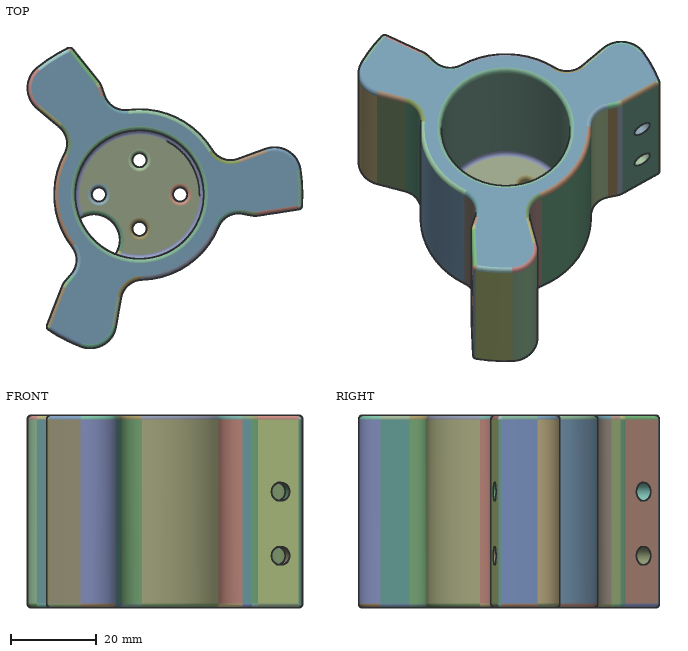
import cadquery as cq
import math

height = 45.0
hub_radius = 19.95
tip_radius = 38.1
bore_diameter = 30.0
floor_thickness = 5.0
edge_radius = 1.0

arm_count = 3
lead_angle = 20.0
trail_angle = -10.7
flat_angle = 8.8
flat_start_radius = 27.4
tip_corner_radius = 6.2
neck_radius = 5.0
flat_blend_radius = 4.0

channel_diameter = 6.3
channel_roof = floor_thickness
cross_hole_diameter = 4.3
cross_hole_count = 2
cross_hole_low_z = 12.15
cross_hole_spacing = 15.0
cross_hole_reach = 14.05

screw_diameter = 3.2
screw_offset_x = 9.5
screw_offset_y = 8.0
drain_radius = 6.0
drain_angle = 225.0

bore_radius = bore_diameter / 2


def polar(radius, angle):
    """Plan point at a radius and an angle in degrees from the hub axis."""
    return (radius * math.cos(math.radians(angle)), radius * math.sin(math.radians(angle)))


def shifted(point, distance, angle):
    """Plan point moved a distance in the direction of an angle in degrees."""
    step = polar(distance, angle)
    return (point[0] + step[0], point[1] + step[1])


def cylinder(center, radius, bottom, top):
    """Upright cylinder at a plan point, between two heights."""
    return cq.Workplane("XY").workplane(offset=bottom).center(*center).circle(radius).extrude(top - bottom)


def fillet_nearest(body, edges, point, radius):
    """Fillet the edge nearest to a point, out of those that match an edge selector."""
    return body.edges(edges).edges(cq.selectors.NearestToPointSelector(point)).fillet(radius)


def turned_copies(shape):
    """Copies of a shape, one at each arm position around the hub axis."""
    return [shape.rotate((0, 0, 0), (0, 0, 1), i * 360 / arm_count) for i in range(arm_count)]


flat_start = polar(flat_start_radius, trail_angle)
start_along_flat = flat_start_radius * math.cos(math.radians(trail_angle - flat_angle))
start_off_flat = flat_start_radius * math.sin(math.radians(trail_angle - flat_angle))
flat_length = math.sqrt(tip_radius**2 - start_off_flat**2) - start_along_flat
flat_end = shifted(flat_start, flat_length, flat_angle)

corner_tangent_radius = math.sqrt((tip_radius - tip_corner_radius)**2 - tip_corner_radius**2)
corner_center = shifted(polar(corner_tangent_radius, lead_angle), tip_corner_radius, lead_angle - 90)


def make_hub_with_arm():
    """Solid hub with one arm and its rounded upright edges."""
    sector = cq.Workplane("XY").polyline([
        (0, 0),
        flat_start,
        shifted(flat_start, tip_radius, flat_angle),
        polar(2 * tip_radius, lead_angle),
    ]).close().extrude(height)
    arm = sector.intersect(cylinder((0, 0), tip_radius, 0, height))
    body = cylinder((0, 0), hub_radius, 0, height).union(arm)
    upright_edges = [
        (polar(hub_radius, lead_angle), neck_radius),
        (polar(hub_radius, trail_angle), neck_radius),
        (flat_start, flat_blend_radius),
        (polar(tip_radius, lead_angle), tip_corner_radius),
        (flat_end, edge_radius),
    ]
    for point, radius in upright_edges:
        body = fillet_nearest(body, "|Z", (*point, height / 2), radius)
    return body


def make_body():
    """Hub with all arms, rounded along the upper and lower outline."""
    body = cq.Workplane("XY")
    for hub_with_arm in turned_copies(make_hub_with_arm()):
        body = body.union(hub_with_arm)
    return body.faces("<Z or >Z").edges().fillet(edge_radius)


def cut_bore(body):
    """Cut the bore, with a rounded corner at its floor and a rounded rim."""
    bore = cylinder((0, 0), bore_radius, floor_thickness, height)
    body = body.cut(bore.faces("<Z").edges().fillet(edge_radius))
    return fillet_nearest(body, "%CIRCLE", (0, 0, height), edge_radius)


def cut_screw_holes(body):
    """Cut four through holes in the floor, with rounded upper edges."""
    centers = [(screw_offset_x, 0), (-screw_offset_x, 0), (0, screw_offset_y), (0, -screw_offset_y)]
    for center in centers:
        body = body.cut(cylinder(center, screw_diameter / 2, 0, floor_thickness))
        body = fillet_nearest(body, "%CIRCLE", (*center, floor_thickness), edge_radius)
    return body


def cut_drain(body):
    """Cut a round opening through the floor, limited by the bore wall, and round its upper edge."""
    cut_top = floor_thickness + 2 * edge_radius
    opening = cylinder(polar(bore_radius, drain_angle), drain_radius, 0, cut_top)
    body = body.cut(opening.intersect(cylinder((0, 0), bore_radius, 0, cut_top)))
    inner_point = polar(bore_radius - drain_radius, drain_angle)
    return fillet_nearest(body, "%CIRCLE", (*inner_point, floor_thickness), edge_radius)


def cut_arm_channels(body):
    """Cut a channel into each arm from below, with cross holes square to the flat face."""
    channel = cylinder(corner_center, channel_diameter / 2, 0, height - channel_roof)
    outward = cq.Vector(*polar(1, flat_angle - 90))
    for i in range(cross_hole_count):
        start = cq.Vector(*corner_center, cross_hole_low_z + i * cross_hole_spacing)
        cross_hole = cq.Solid.makeCylinder(cross_hole_diameter / 2, cross_hole_reach, start, outward)
        channel = channel.union(cq.Workplane(cross_hole))
    for cutter in turned_copies(channel):
        body = body.cut(cutter)
    return body


body = make_body()
body = cut_bore(body)
body = cut_screw_holes(body)
body = cut_drain(body)
result = cut_arm_channels(body)